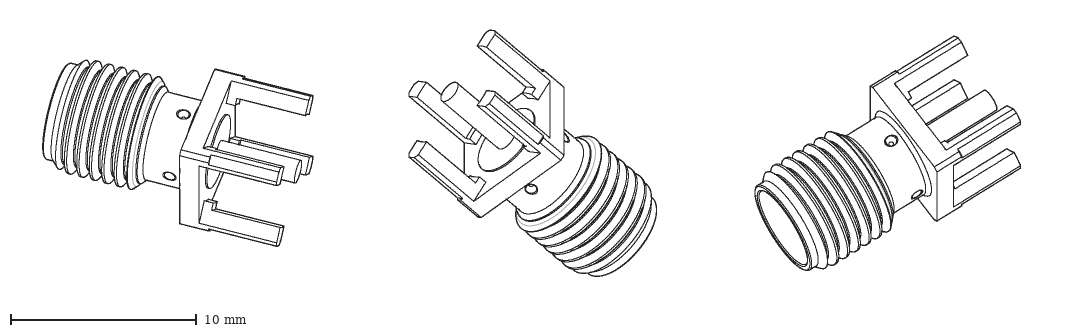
import cadquery as cq
import math


plain_radius = 2.68
plain_end = 0.50
outer_lip_chamfer = 0.07
thread_pitch = 25.4 / 36
crest_radius = 3.14
root_radius = 2.71
crest_width = 0.13
flank_angle = 30
ridge_count = 6
first_ridge_x = 1.465
lead_apex_x = 0.87
lead_apex_radius = 3.04
thread_end_chamfer_x = 4.965
relief_end = 5.385
neck_radius = 2.45
neck_start = 5.63

flare_start = 7.70
flare_radius = 2.66
flange_x = 7.935
flange_back = 9.04
flange_side = 6.31
flange_corner_radius = 4.30
leg_end = 13.43
leg_width = 0.995
leg_outer_radius = 4.19
leg_outer_step = 9.58
leg_base_inner_radius = 2.755
leg_inner_radius = 3.15
leg_inner_step = 9.55

bore_radius = 2.31
bore_chamfer = 0.07
bore_depth = 1.95
insulator_radius = 2.05
insulator_recess = 0.10
insulator_back = 9.13
contact_recess = 0.10
socket_mouth_radius = 0.485
socket_radius = 0.42
socket_mouth_depth = 0.07
socket_depth = 2.0
socket_seat_radius = 0.36
socket_tip_radius = 0.295
socket_tip_depth = 0.10
pin_radius = 0.635
pin_end = 13.62

hole_x = 7.13
hole_rim_radius = 0.375
hole_rim_depth = 0.03
hole_radius = 0.30
hole_floor_radius = 0.125
hole_depth = 0.40
hole_count = 4


def revolve_about_x(profile):
    """Turn a closed (x, radius) profile about the X axis."""
    return cq.Workplane("XY").polyline(profile).close().revolve(360, (0, 0, 0), (1, 0, 0))


def rod(start, end, radius):
    """A round rod along X between two stations."""
    return cq.Workplane("YZ").workplane(offset=start).circle(radius).extrude(end - start)


def make_barrel():
    """Plain nose, V-shaped thread ridges, neck and the flare into the flange."""
    flank_run = (crest_radius - root_radius) * math.tan(math.radians(flank_angle))
    lead_run = (lead_apex_radius - root_radius) * math.tan(math.radians(flank_angle))
    profile = [
        (0, 0),
        (0, plain_radius - outer_lip_chamfer),
        (outer_lip_chamfer, plain_radius),
        (plain_end, plain_radius),
        (lead_apex_x, lead_apex_radius),
        (lead_apex_x + lead_run, root_radius),
    ]
    for ridge in range(ridge_count):
        centre = first_ridge_x + ridge * thread_pitch
        crest_start = centre - crest_width / 2
        crest_end = centre + crest_width / 2
        profile += [(crest_start - flank_run, root_radius), (crest_start, crest_radius)]
        if ridge < ridge_count - 1:
            profile.append((crest_end, crest_radius))
        else:
            flank_slope = 1 / math.tan(math.radians(flank_angle))
            chamfer_drop = (crest_end - thread_end_chamfer_x) * flank_slope / (flank_slope - 1)
            profile += [
                (thread_end_chamfer_x, crest_radius),
                (thread_end_chamfer_x + chamfer_drop, crest_radius - chamfer_drop),
            ]
        profile.append((crest_end + flank_run, root_radius))
    profile += [
        (relief_end, root_radius),
        (neck_start, neck_radius),
        (flare_start, neck_radius),
        (flange_x, flare_radius),
        (flange_x, 0),
    ]
    return revolve_about_x(profile)


def make_flange_and_legs():
    """Square flange whose corners carry on as four stepped legs."""
    bar = (
        cq.Workplane("YZ")
        .workplane(offset=flange_x)
        .rect(flange_side, flange_side)
        .extrude(leg_end - flange_x)
    )
    turned = rod(flange_x, leg_outer_step, flange_corner_radius)
    turned = turned.union(rod(leg_outer_step, leg_end, leg_outer_radius))
    turned = turned.cut(rod(flange_back, leg_inner_step, leg_base_inner_radius))
    turned = turned.cut(rod(leg_inner_step, leg_end, leg_inner_radius))
    kept = rod(flange_x, flange_back, flange_side)
    for angle in (45, 135):
        diagonal = (
            cq.Workplane("YZ")
            .workplane(offset=flange_back)
            .transformed(rotate=(0, 0, angle))
            .rect(2 * flange_side, leg_width)
            .extrude(leg_end - flange_back)
        )
        kept = kept.union(diagonal)
    return bar.intersect(turned).intersect(kept)


def make_bore():
    """Chamfered mating bore with the insulator face set slightly below its floor."""
    insulator_face = bore_depth + insulator_recess
    return revolve_about_x([
        (0, 0),
        (0, bore_radius + bore_chamfer),
        (bore_chamfer, bore_radius),
        (bore_depth, bore_radius),
        (bore_depth, insulator_radius),
        (insulator_face, insulator_radius),
        (insulator_face, 0),
    ])


def make_socket():
    """Recessed contact face with a socket: chamfered mouth, straight bore and a tapered seat."""
    insulator_face = bore_depth + insulator_recess
    face = insulator_face + contact_recess
    floor = face + socket_depth
    return revolve_about_x([
        (insulator_face, 0),
        (insulator_face, pin_radius),
        (face, pin_radius),
        (face, socket_mouth_radius),
        (face + socket_mouth_depth, socket_radius),
        (floor, socket_radius),
        (floor, socket_seat_radius),
        (floor + socket_tip_depth, socket_tip_radius),
        (floor + socket_tip_depth, 0),
    ])


def make_neck_hole():
    """Conical hole with a countersunk rim, entering the neck from +Z."""
    overshoot = 0.1
    rim_slope = (hole_rim_radius - hole_radius) / hole_rim_depth
    return (
        cq.Workplane("XZ")
        .polyline([
            (0, neck_radius + overshoot),
            (hole_rim_radius + overshoot * rim_slope, neck_radius + overshoot),
            (hole_radius, neck_radius - hole_rim_depth),
            (hole_floor_radius, neck_radius - hole_depth),
            (0, neck_radius - hole_depth),
        ])
        .close()
        .revolve(360, (0, 0, 0), (0, 1, 0))
        .translate((hole_x, 0, 0))
    )


result = make_barrel().union(make_flange_and_legs())
result = result.union(rod(flange_back, insulator_back, insulator_radius))
result = result.union(rod(flange_back, pin_end, pin_radius))
result = result.cut(make_bore()).cut(make_socket())
for index in range(hole_count):
    turn = index * 360 / hole_count
    result = result.cut(make_neck_hole().rotate((0, 0, 0), (1, 0, 0), turn))